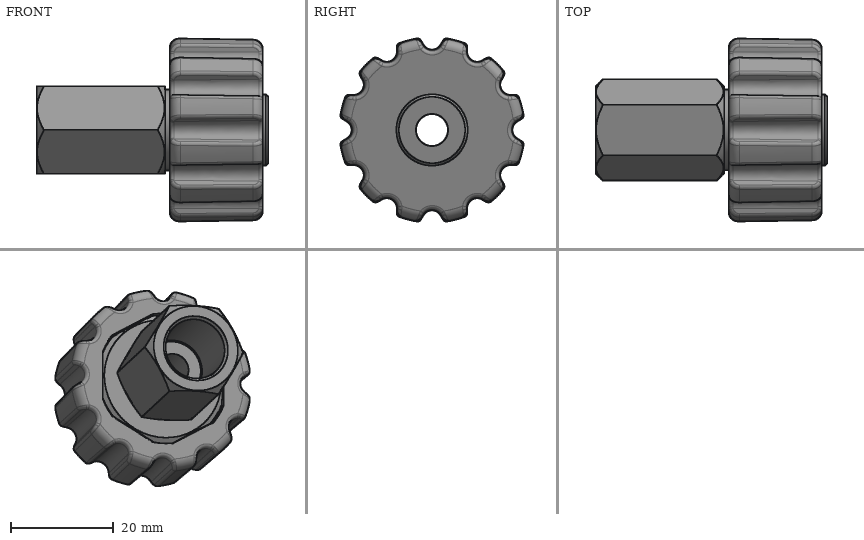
import cadquery as cq
import math

total_length = 45.1
hexagon_sides = 6
hexagon_corner_scale = 1 / math.cos(math.pi / hexagon_sides)
full_turn = 360

socket_length = 25.0
socket_flats = 17.1
socket_end_diameter = 16.85
bore_diameter = 11.8
bore_mouth_diameter = 12.9
seat_depth = 18.05
seat_diameter = 11.05
through_diameter = 6.2

collar_diameter = 15.8

knob_start = 25.9
knob_end = 44.0
knob_length = knob_end - knob_start
knob_radius = 18.1
knob_rim_fillet = 2.0
draft_angle = 0.8
groove_count = 12
groove_floor_radius = 15.65
groove_arc_radius = 1.95
groove_wall_angle = 30.0
groove_edge_fillet = 0.75

pocket_flats = 24.2
pocket_corner_diameter = 26.0
pocket_depth = 2.25
pocket_floor = knob_start + pocket_depth
nut_turn = full_turn / hexagon_sides / 2
nut_flats = 23.95
nut_corner_diameter = 25.53
nut_face_diameter = 23.45
nut_recess = 0.4
nut_chamfer_angle = 30.0

ring_diameter = 13.9
ring_chamfer = 0.5


def cylinder(diameter, start, end):
    return cq.Workplane("YZ", origin=(start, 0, 0)).circle(diameter / 2).extrude(end - start)


def hexagon(flats, start, end, turn):
    """Hexagonal bar along X; with no turn, two of its corners lie on the Y axis."""
    corner_diameter = flats * hexagon_corner_scale
    bar = cq.Workplane("YZ", origin=(start, 0, 0)).polygon(hexagon_sides, corner_diameter).extrude(end - start)
    return bar.rotate((0, 0, 0), (1, 0, 0), turn)


def turned(points):
    """Solid turned about the X axis from (x, radius) points."""
    return cq.Workplane("XY").polyline(points).close().revolve(full_turn, (0, 0, 0), (1, 0, 0))


def make_socket():
    """Hexagonal bar with its corners chamfered at 45 degrees at both ends."""
    corner_radius = socket_flats / 2 * hexagon_corner_scale
    end_radius = socket_end_diameter / 2
    chamfer = corner_radius - end_radius
    envelope = turned([
        (0, 0),
        (0, end_radius),
        (chamfer, corner_radius),
        (socket_length - chamfer, corner_radius),
        (socket_length, end_radius),
        (socket_length, 0),
    ])
    return hexagon(socket_flats, 0, socket_length, 0).intersect(envelope)


def make_groove():
    """Cutter for one grip groove on the +Y side, widening with the draft towards the back."""
    wall_angle = math.radians(groove_wall_angle)
    arc_center = groove_floor_radius + groove_arc_radius
    tangent_y = arc_center - groove_arc_radius * math.sin(wall_angle)
    tangent_z = groove_arc_radius * math.cos(wall_angle)
    outer_y = knob_radius + groove_arc_radius
    outer_z = tangent_z + (outer_y - tangent_y) * math.tan(wall_angle)
    return (
        cq.Workplane("YZ", origin=(knob_start, 0, 0))
        .moveTo(outer_y, -outer_z)
        .lineTo(tangent_y, -tangent_z)
        .threePointArc((groove_floor_radius, 0), (tangent_y, tangent_z))
        .lineTo(outer_y, outer_z)
        .close()
        .extrude(knob_length, taper=-draft_angle)
    )


def groove_edges(body):
    """Rims of the grooves: their arcs on the end faces and their curved crossings with the knob skin."""
    end_arcs = [edge for edge in body.edges("%CIRCLE").vals() if edge.radius() < groove_floor_radius]
    return end_arcs + body.edges("%BSPLINE").vals()


def make_knob():
    """Drafted, round-rimmed knob with rounded grip grooves all around it."""
    back_radius = knob_radius - knob_length * math.tan(math.radians(draft_angle))
    body = turned([(knob_start, 0), (knob_start, knob_radius), (knob_end, back_radius), (knob_end, 0)])
    body = body.faces("<X or >X").edges().fillet(knob_rim_fillet)
    groove = make_groove()
    for index in range(groove_count):
        body = body.cut(groove.rotate((0, 0, 0), (1, 0, 0), index * full_turn / groove_count))
    return body.newObject(groove_edges(body)).fillet(groove_edge_fillet)


def make_nut_pocket():
    """Hexagonal pocket in the front face, its corners cut back by a circle."""
    pocket = hexagon(pocket_flats, knob_start, pocket_floor, nut_turn)
    return pocket.intersect(cylinder(pocket_corner_diameter, knob_start, pocket_floor))


def make_nut():
    """Chamfered nut standing on the pocket floor, its face just below the knob face."""
    face = knob_start + nut_recess
    face_radius = nut_face_diameter / 2
    corner_radius = nut_corner_diameter / 2
    chamfer_depth = (corner_radius - face_radius) * math.tan(math.radians(nut_chamfer_angle))
    envelope = turned([
        (face, 0),
        (face, face_radius),
        (face + chamfer_depth, corner_radius),
        (pocket_floor, corner_radius),
        (pocket_floor, 0),
    ])
    return hexagon(nut_flats, face, pocket_floor, nut_turn).intersect(envelope)


def make_bore():
    """Socket bore with a chamfered mouth, a bevelled seat at its floor and a hole through the part."""
    bore_radius = bore_diameter / 2
    mouth_radius = bore_mouth_diameter / 2
    seat_radius = seat_diameter / 2
    through_radius = through_diameter / 2
    return turned([
        (0, 0),
        (0, mouth_radius),
        (mouth_radius - bore_radius, bore_radius),
        (seat_depth + bore_radius - seat_radius, bore_radius),
        (seat_depth, seat_radius),
        (seat_depth, through_radius),
        (total_length, through_radius),
        (total_length, 0),
    ])


collar = cylinder(collar_diameter, socket_length, pocket_floor)
end_ring = cylinder(ring_diameter, knob_end, total_length).faces(">X").chamfer(ring_chamfer)

result = (
    make_knob()
    .cut(make_nut_pocket())
    .union(make_nut())
    .union(collar)
    .union(make_socket())
    .union(end_ring)
    .cut(make_bore())
)